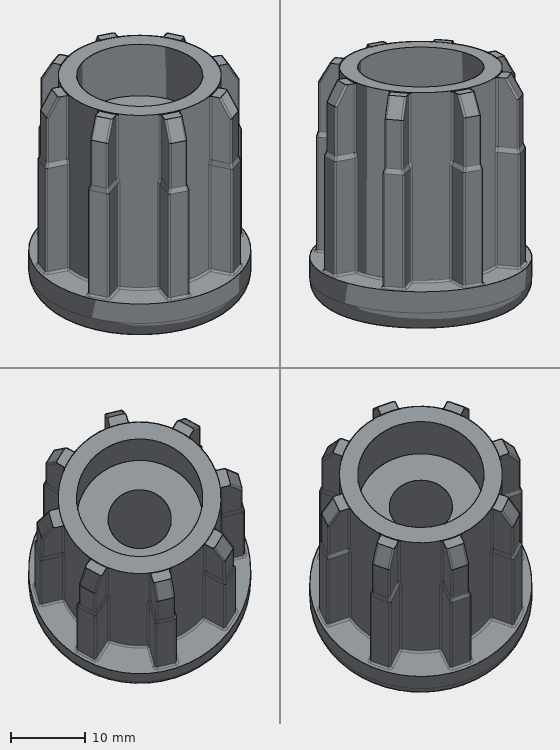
import cadquery as cq
import math

total_height = 33.0
flange_diameter = 30.0
flange_height = 6.0
flange_rounding = flange_height / 2

sleeve_radius = 11.0
bore_radius = 8.5
bore_depth = 8.0
through_hole_radius = 4.25

rib_count = 8
lower_rib_reach = 14.25
lower_rib_width = 3.05
upper_rib_reach = 14.02
upper_rib_width = 2.57
taper_bottom = 22.3
taper_top = 23.05
tip_slope_start = 30.0
tip_slope_angle = 30.0
rib_top = 32.87
rib_root = 9.57

rib_edge_radius = 0.25
root_fillet_radius = 0.3

tolerance = 0.003


def make_base():
    """Flange with a rounded underside and the plain sleeve above it."""
    flange = cq.Workplane("XY").circle(flange_diameter / 2).extrude(flange_height)
    flange = flange.faces("<Z").edges().fillet(flange_rounding)
    sleeve = cq.Workplane("XY").circle(sleeve_radius).extrude(total_height)
    return flange.union(sleeve)


def rib_section(reach, width, height):
    """Rectangle across one rib at the given height, from its root to its outer face."""
    middle = (rib_root + reach) / 2
    return cq.Workplane("XY", origin=(middle, 0, height)).rect(reach - rib_root, width)


def make_taper():
    """Short transition from the wide lower part of a rib to its slim upper part."""
    lower_wire = rib_section(lower_rib_reach, lower_rib_width, taper_bottom).val()
    upper_wire = rib_section(upper_rib_reach, upper_rib_width, taper_top).val()
    return cq.Workplane(cq.Solid.makeLoft([lower_wire, upper_wire], True))


def make_upper_rib():
    """Slim upper part of a rib, ending in a tip that slopes in towards the sleeve."""
    tip_inset = (rib_top - tip_slope_start) * math.tan(math.radians(tip_slope_angle))
    outline = (
        cq.Workplane("XZ")
        .moveTo(rib_root, taper_top)
        .lineTo(upper_rib_reach, taper_top)
        .lineTo(upper_rib_reach, tip_slope_start)
        .lineTo(upper_rib_reach - tip_inset, rib_top)
        .lineTo(rib_root, rib_top)
        .close()
    )
    return outline.extrude(upper_rib_width / 2, both=True)


def make_rib():
    """One rib pointing along +X, with its outer corners rounded along the full length."""
    lower_height = taper_bottom - flange_height
    lower = rib_section(lower_rib_reach, lower_rib_width, flange_height).extrude(lower_height)
    rib = lower.union(make_taper()).union(make_upper_rib())

    def is_outer_corner(edge):
        box = edge.BoundingBox()
        return box.xmin > sleeve_radius and box.zlen > tolerance

    return rib.edges().filter(is_outer_corner).fillet(rib_edge_radius)


def is_rib_root(edge):
    """True for the rising edges where a rib side meets the sleeve."""
    start, end = edge.startPoint(), edge.endPoint()
    rises = abs(end.z - start.z) > tolerance
    on_sleeve = all(abs(math.hypot(p.x, p.y) - sleeve_radius) < tolerance for p in (start, end))
    ends_at_rib = max(start.z, end.z) < rib_top + tolerance
    return rises and on_sleeve and ends_at_rib


def is_flange_top(face):
    """True for the flat ring on top of the flange."""
    return abs(face.Center().z - flange_height) < tolerance


def fillet_roots(body):
    """Fillet the ribs into the sleeve, and ribs and sleeve into the flange top."""
    root_edges = body.edges().filter(is_rib_root).vals()
    flange_top = body.faces("+Z").filter(is_flange_top).val()
    foot_outline = flange_top.innerWires()[0]
    return body.newObject(root_edges + foot_outline.Edges()).fillet(root_fillet_radius)


body = make_base()
rib = make_rib()
for index in range(rib_count):
    body = body.union(rib.rotate((0, 0, 0), (0, 0, 1), index * 360 / rib_count))
body = fillet_roots(body)

bore = cq.Workplane("XY", origin=(0, 0, total_height - bore_depth)).circle(bore_radius).extrude(bore_depth)
through_hole = cq.Workplane("XY").circle(through_hole_radius).extrude(total_height)

result = body.cut(bore).cut(through_hole)